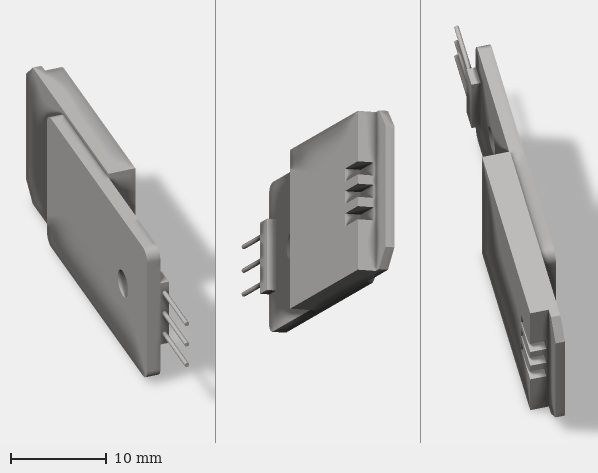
import cadquery as cq


height = 17.0
carrier_length = 24.0
carrier_thickness = 1.0
corner_chamfer = 2.0

housing_start = 3.0
housing_thickness = 2.0
housing_length = carrier_length - housing_start

slot_count = 3
slot_pitch = 2.4
slot_height = 1.4
slot_depth_y = 1.75
slot_length = 4.0

plate_start = 10.0
plate_length = 29.0
plate_height = 16.0
plate_thickness = 1.5
plate_radius = 1.2
hole_diameter = 3.0
hole_x = 32.0

overall_length = 45.4
pin_count = 3
pin_pitch = 2.54
pin_diameter = 0.5
header_start = 36.8
header_end = 38.9
header_thickness = 1.0
header_height = pin_count * pin_pitch


def block(x_start, y_start, length, thickness, block_height, z_center=0.0):
    """Box given by its low X and Y sides and its Z centre."""
    return (
        cq.Workplane("XY")
        .box(length, thickness, block_height, centered=(False, False, True))
        .translate((x_start, y_start, z_center))
    )


def row_positions(count, pitch):
    """Z positions of evenly spaced features about mid height."""
    return [(i - (count - 1) / 2) * pitch for i in range(count)]


def make_carrier():
    carrier = block(0, 0, carrier_length, carrier_thickness, height)
    return carrier.edges("|Y and <X").chamfer(corner_chamfer)


def make_housing():
    outer_face = carrier_thickness + housing_thickness
    housing = block(housing_start, carrier_thickness, housing_length, housing_thickness, height)
    for z in row_positions(slot_count, slot_pitch):
        slot = block(housing_start, outer_face - slot_depth_y, slot_length, slot_depth_y, slot_height, z)
        housing = housing.cut(slot)
    return housing


def make_plate():
    plate = block(plate_start, -plate_thickness, plate_length, plate_thickness, plate_height)
    plate = plate.edges("|Y").fillet(plate_radius)
    hole = (
        cq.Workplane("XZ")
        .center(hole_x, 0)
        .circle(hole_diameter / 2)
        .extrude(plate_thickness)
    )
    return plate.cut(hole)


def make_header():
    header = block(header_start, 0, header_end - header_start, header_thickness, header_height)
    for z in row_positions(pin_count, pin_pitch):
        pin = (
            cq.Workplane("YZ", origin=(header_start, header_thickness / 2, z))
            .circle(pin_diameter / 2)
            .extrude(overall_length - header_start)
        )
        header = header.union(pin)
    return header


result = make_carrier().union(make_housing()).union(make_plate()).union(make_header())